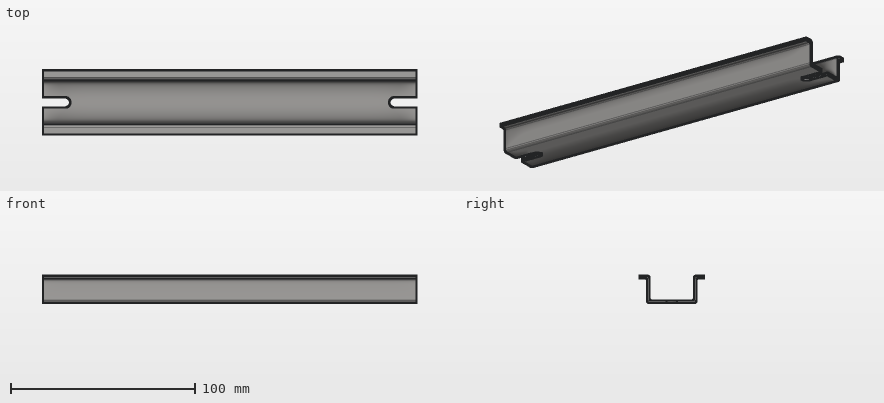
import cadquery as cq

length = 203.0
width = 35.0
height = 15.0

thickness = 1.5
channel_width = 27.0
outer_bend_radius = 1.6
inner_bend_radius = 0.8

slot_width = 5.5
slot_depth = 14.8

wall_outside = channel_width / 2
wall_inside = wall_outside - thickness
flange_underside = height - thickness


def block(y_size, z_bottom, z_top):
    """Full-length bar centred on Y = 0."""
    return cq.Workplane("XY", origin=(0, 0, z_bottom)).box(
        length, y_size, z_top - z_bottom, centered=(True, True, False)
    )


def bend_edges(body, y, z, radius):
    """Round the two mirrored long edges at (+/-y, z)."""
    for side in (-1, 1):
        body = body.edges(cq.selectors.NearestToPointSelector((0, side * y, z))).fillet(radius)
    return body


def rail_section():
    """Channel with outward flanges and rounded bends."""
    body = (
        block(width, flange_underside, height)
        .union(block(channel_width, 0, flange_underside))
        .cut(block(2 * wall_inside, thickness, height))
    )
    body = bend_edges(body, wall_outside, 0, outer_bend_radius)
    body = bend_edges(body, wall_inside, height, outer_bend_radius)
    body = bend_edges(body, wall_inside, thickness, inner_bend_radius)
    return bend_edges(body, wall_outside, flange_underside, inner_bend_radius)


def end_slot(side):
    """Round-bottomed slot through the floor, open at one end of the rail."""
    return (
        cq.Workplane("XY")
        .center(side * length / 2, 0)
        .slot2D(2 * slot_depth, slot_width)
        .extrude(height)
    )


result = rail_section()
for end in (-1, 1):
    result = result.cut(end_slot(end))